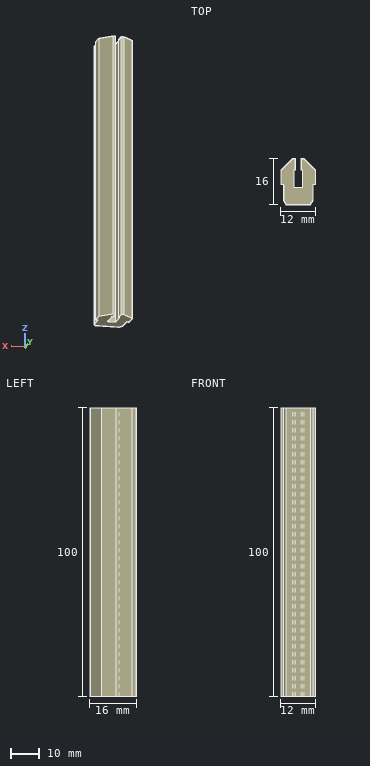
import cadquery as cq

length = 100.0
head_width = 12.0
depth = 16.0

tip_width = 4.0
head_depth = 9.0
taper = (head_width - tip_width) / 2

foot_width = 10.2
foot_chamfer_width = 0.9
foot_chamfer_depth = 1.5

mouth_width = 2.0
mouth_depth = 4.0
pocket_width = 2.8
slot_depth = 10.0

tip_y = depth / 2
back_y = -depth / 2
ledge_y = tip_y - head_depth
mouth_end_y = tip_y - mouth_depth
slot_floor_y = tip_y - slot_depth

right_half = [
    (pocket_width / 2, slot_floor_y),
    (pocket_width / 2, mouth_end_y),
    (mouth_width / 2, mouth_end_y),
    (mouth_width / 2, tip_y),
    (tip_width / 2, tip_y),
    (head_width / 2, tip_y - taper),
    (head_width / 2, ledge_y),
    (foot_width / 2, ledge_y),
    (foot_width / 2, back_y + foot_chamfer_depth),
    (foot_width / 2 - foot_chamfer_width, back_y),
]
left_half = [(-x, y) for x, y in reversed(right_half)]

result = (
    cq.Workplane("XY")
    .workplane(offset=-length / 2)
    .polyline(right_half + left_half)
    .close()
    .extrude(length)
)